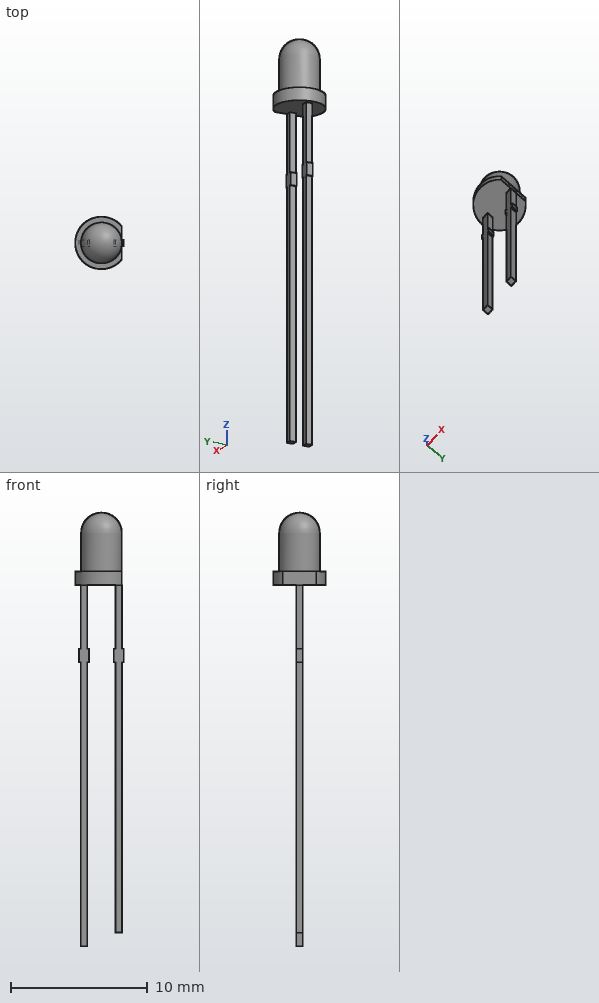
import cadquery as cq

lens_diameter = 3.0
lens_radius = lens_diameter / 2
flange_diameter = 3.85
flange_height = 1.0
flat_offset = lens_radius
body_height = 5.3

lead_pitch = 2.54
lead_width = 0.5
short_lead_length = 25.4
long_lead_length = short_lead_length + 1.0

standoff_width = 0.75
standoff_height = 1.0
standoff_drop = 4.65


def make_flange():
    """Disc resting on Z = 0 with a flat on its +X side."""
    disc = cq.Workplane("XY").circle(flange_diameter / 2).extrude(flange_height)
    beyond_flat = (
        cq.Workplane("XY")
        .box(flange_diameter, flange_diameter, flange_height, centered=(False, True, False))
        .translate((flat_offset, 0, 0))
    )
    return disc.cut(beyond_flat)


def make_lens():
    """Revolved half profile of the cylinder and its domed tip."""
    shoulder_height = body_height - lens_radius
    return (
        cq.Workplane("XZ")
        .lineTo(lens_radius, 0)
        .lineTo(lens_radius, shoulder_height)
        .radiusArc((0, body_height), -lens_radius)
        .close()
        .revolve(360, (0, 0, 0), (0, 1, 0))
    )


def make_lead(x_position, length):
    """Square lead with its standoff, hanging down from Z = 0."""
    wire = cq.Workplane("XY").rect(lead_width, lead_width).extrude(-length)
    standoff = (
        cq.Workplane("XY")
        .workplane(offset=-standoff_drop)
        .rect(standoff_width, lead_width)
        .extrude(-standoff_height)
    )
    return wire.union(standoff).translate((x_position, 0, 0))


long_lead = make_lead(-lead_pitch / 2, long_lead_length)
short_lead = make_lead(lead_pitch / 2, short_lead_length)

result = make_flange().union(make_lens()).union(long_lead).union(short_lead)